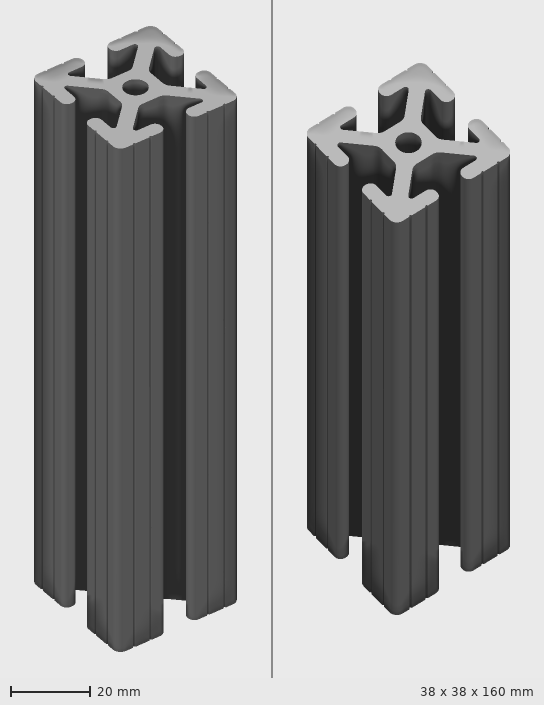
import cadquery as cq
import math

length = 160.0
side = 38.0
corner_radius = 2.4

slot_opening = 8.2
lip_thickness = 4.2
lip_radius = 2.0

core_width = 13.3
core_fillet = 2.9
web_thickness = 4.2
pocket_corner_radius = 0.83
bore_diameter = 6.7

groove_radius = 0.37
groove_offsets = (9.0, 14.0)

half_side = side / 2
half_core = core_width / 2
half_opening = slot_opening / 2
pocket_top = half_side - lip_thickness
flank_shift = web_thickness / math.sqrt(2)
floor_half = half_core - flank_shift
pocket_half = pocket_top - flank_shift
side_angles = (0, 90, 180, 270)


def bar_from(outlines):
    """Extrude closed outlines over the full length of the bar."""
    return outlines.extrude(length / 2, both=True)


def long_edges_at(body, x, y):
    """Pick the edges along Z that pass through (x, y) and (-x, y)."""
    right_edge = cq.selectors.NearestToPointSelector((x, y, 0))
    left_edge = cq.selectors.NearestToPointSelector((-x, y, 0))
    return body.edges("|Z").edges(right_edge + left_edge)


def cut_all_sides(body, cutter):
    """Cut a cutter made for the +Y face into all four side faces."""
    for angle in side_angles:
        body = body.cut(cutter.rotate((0, 0, 0), (0, 0, 1), angle))
    return body


def rounded_square_bar():
    bar = bar_from(cq.Workplane("XY").rect(side, side))
    return bar.edges("|Z").fillet(corner_radius)


def t_slot():
    """Slot of the +Y face: pocket with 45 degree flanks under a round-lipped opening."""
    right_outline = [
        (floor_half, half_core),
        (pocket_half, pocket_top),
        (half_opening, pocket_top),
        (half_opening, half_side - lip_radius),
    ]
    left_outline = [(-x, y) for x, y in reversed(right_outline)]

    arc_reach = lip_radius * (1 - math.sqrt(0.5))
    lip_edge = half_opening + lip_radius
    arc_middle = (half_opening + arc_reach, half_side - arc_reach)
    outline = (
        cq.Workplane("XY")
        .polyline(right_outline)
        .threePointArc(arc_middle, (lip_edge, half_side))
        .lineTo(-lip_edge, half_side)
        .threePointArc((-arc_middle[0], arc_middle[1]), left_outline[0])
        .polyline(left_outline[1:], includeCurrent=True)
        .close()
    )
    slot = bar_from(outline)
    slot = long_edges_at(slot, floor_half, half_core).fillet(core_fillet)
    slot = long_edges_at(slot, pocket_half, pocket_top).fillet(pocket_corner_radius)
    return long_edges_at(slot, half_opening, pocket_top).fillet(lip_radius)


def face_grooves():
    """Half-round grooves of the +Y face, mirrored about its middle."""
    centers = [(direction * offset, half_side) for offset in groove_offsets for direction in (-1, 1)]
    return bar_from(cq.Workplane("XY").pushPoints(centers).circle(groove_radius))


def center_bore():
    return bar_from(cq.Workplane("XY").circle(bore_diameter / 2))


result = rounded_square_bar()
result = cut_all_sides(result, t_slot())
result = cut_all_sides(result, face_grooves())
result = result.cut(center_bore())